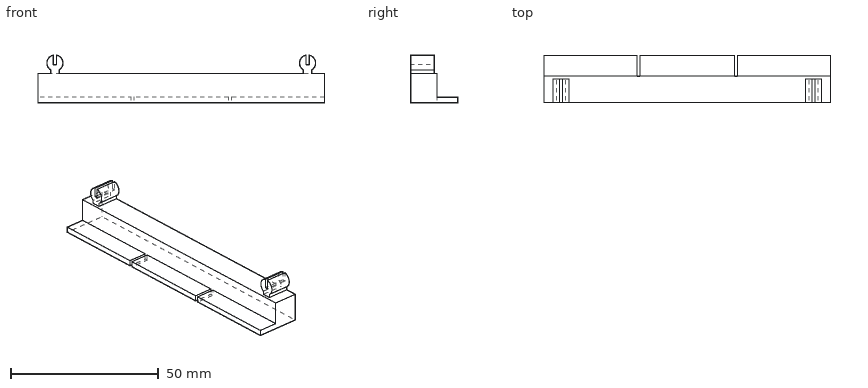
import cadquery as cq

LENGTH = 97.0
DEPTH = 16.0
BAR_DEPTH = 9.0
BAR_HEIGHT = 10.0
FLANGE_THICKNESS = 2.0

FLANGE_GAP = 1.0
GAP_SPACING = 33.0

CLIP_RADIUS = 2.75
CLIP_CENTER_Z = 13.5
CLIP_DEPTH = 8.0
CLIP_END_MARGIN = 3.0
CLIP_SPACING = LENGTH - 2 * (CLIP_END_MARGIN + CLIP_RADIUS)
NECK_WIDTH = 3.0
SLOT_WIDTH = 1.0
SLOT_FLOOR_Z = 13.0


def block(x_center, width, y_start, y_end, z_start, z_end):
    """Box centred on x_center in X, with the given Y and Z limits."""
    size_y = y_end - y_start
    size_z = z_end - z_start
    box = cq.Workplane("XY").box(width, size_y, size_z, centered=(True, False, False))
    return box.translate((x_center, y_start, z_start))


def make_base():
    bar = block(0, LENGTH, 0, BAR_DEPTH, 0, BAR_HEIGHT)
    flange = block(0, LENGTH, 0, DEPTH, 0, FLANGE_THICKNESS)
    return bar.union(flange)


def make_clip(x_center):
    """Cylinder along Y on a narrow neck, slotted from above."""
    barrel = (
        cq.Workplane("XZ")
        .center(x_center, CLIP_CENTER_Z)
        .circle(CLIP_RADIUS)
        .extrude(-CLIP_DEPTH)
    )
    neck = block(x_center, NECK_WIDTH, 0, CLIP_DEPTH, BAR_HEIGHT, CLIP_CENTER_Z)
    slot_top_z = CLIP_CENTER_Z + CLIP_RADIUS
    slot = block(x_center, SLOT_WIDTH, 0, CLIP_DEPTH, SLOT_FLOOR_Z, slot_top_z)
    return barrel.union(neck).cut(slot)


result = make_base()
for side in (-1, 1):
    gap_x = side * GAP_SPACING / 2
    result = result.cut(block(gap_x, FLANGE_GAP, BAR_DEPTH, DEPTH, 0, FLANGE_THICKNESS))
    result = result.union(make_clip(side * CLIP_SPACING / 2))